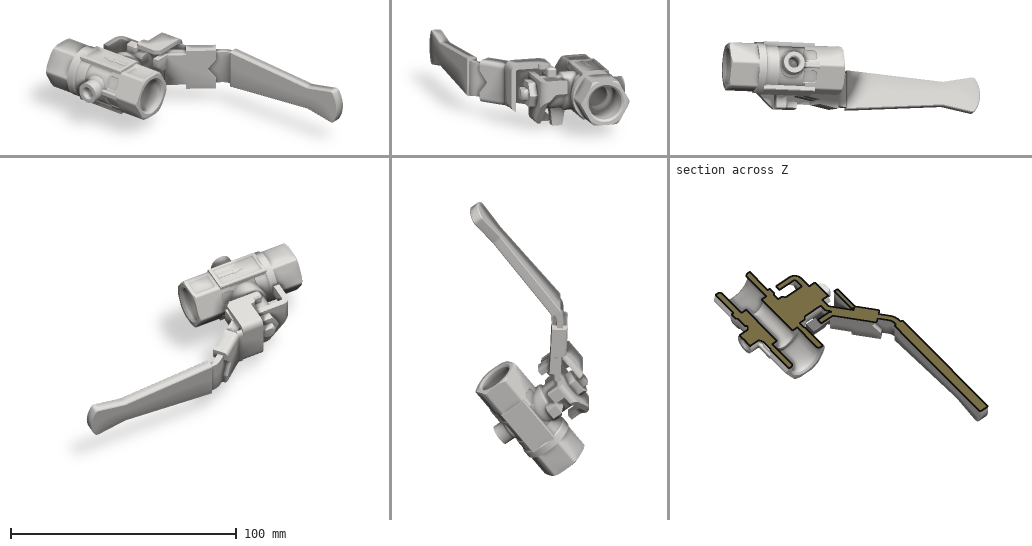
import cadquery as cq
import math


overlap = 1.2

inlet_x = -27.4
outlet_x = 24.1
hex_flats = 19.8
hex_edge_radius = 1.4
end_face_radius = 10.3
end_chamfer_length, end_chamfer_drop = 1.0, 1.6
collar_start, collar_end, collar_radius = -14.8, -11.0, 11.4
collar_chamfer = 0.5
shoulder_end, shoulder_radius = -5.7, 10.7
barrel_radius = 10.1
outlet_hex_start = 6.7
bore_radius = 5.1
thread_radius = 7.5
thread_depth = 14.8
thread_chamfer = 0.9

pad_start, pad_end, pad_half_width = -11.7, 11.2, 6.2
pad_height = 10.9
pad_edge_chamfer = 0.4
pad_frame = 1.5
pocket_depth = 0.4
pocket_slope = 0.6
arrow_tip, arrow_neck, arrow_tail = -2.8, 1.7, 9.1
arrow_height = 0.2
arrow_half_width, arrow_shaft_half_width = 1.4, 0.7
outlet_pocket_start, outlet_pocket_end, outlet_pocket_width = 12.4, 22.5, 7.9
outlet_pocket_radius = 1.0
scallop_end, scallop_width, scallop_corner_radius = 11.9, 6.2, 1.9

port_face_y = -15.5
port_radius = 4.7
port_root_radius, port_root_y = 5.8, -10.6
port_hole_radius, port_hole_depth, port_hole_chamfer = 2.5, 6.2, 0.5
rib_end_x, rib_width, rib_depth_y, rib_edge_radius = 12.4, 2.7, -11.5, 0.7

flange_radius, flange_top = 8.5, 12.6
neck_radius, neck_base, neck_top = 7.3, 13.5, 22.6
stem_radius, stem_top, stem_chamfer = 3.6, 31.6, 1.0
stem_flats = 4.7
nut_flats, nut_height = 10.9, 3.3
upper_lug_half_width, upper_lug_top = 2.8, 11.2
upper_lug_low_y, upper_lug_high_y = 15.3, 19.5
upper_lug_chamfer, upper_lug_radius = 0.7, 1.2
lug_web_x, lug_web_low_y, lug_web_top = 6.7, 14.7, 7.9
lower_lug_half_width, lower_lug_bottom, lower_lug_chamfer = 2.2, -15.1, 0.6
lower_lug_root_y = (11.4, 18.2)
lower_lug_tip_y = (12.7, 17.3)

plate = 2.7
lever_y = neck_top + plate / 2
lever_half_width = 7.7
lever_left_x = -14.1
lever_tab_y = 13.7
tab_bottom, tab_slant_low_y = 2.0, 18.9
right_flap_x, right_flap_low_y, right_flap_bottom = 14.3, 16.7, 1.0
lever_slope = 40.0
upper_bend_x = 32.7
grip_mid_y = 43.3
lower_bend_radius = 2.3
upper_bend_radius = 6.0
stop_left_x, stop_right_x = 2.7, 8.0
stop_bottom, stop_low_y = -14.0, 17.5
stop_bend_radius = 2.5
bevel_offset = -15.3

grip_start, grip_waist, grip_flare, grip_end = 35.6, 79.2, 93.2, 96.1
grip_thickness = 4.7
grip_start_half, grip_waist_half, grip_flare_half = 8.8, 5.3, 8.0
grip_waist_radius, grip_corner_radius = 3.7, 1.9
grip_edge_chamfer = 0.4

sleeve_gap = 2.2
sleeve_back = 2.1
sleeve_length, sleeve_half_width = 13.3, 9.5
sleeve_to_bend = 5.3
notch_depth, notch_half_width = 4.0, 5.0
tongue_length, tongue_half_width = 9.6, 7.4
clip_back_y, clip_thickness = 34.2, 2.1
clip_left_x, clip_right_x, clip_joint_x = 4.3, 14.3, 16.8
clip_top, clip_low_y = 12.0, 16.7
hook_left_x, hook_height, hook_radius = 1.7, 5.4, 1.6
clip_bend_radius, clip_corner_chamfer, clip_joint_radius = 3.0, 2.0, 2.0


def block(x, y, z):
    """Box given by its (low, high) limits on each axis."""
    size = (x[1] - x[0], y[1] - y[0], z[1] - z[0])
    return cq.Workplane("XY").box(*size, centered=False).translate((x[0], y[0], z[0]))


def x_cylinder(radius, start, end):
    return cq.Workplane("YZ").workplane(offset=start).circle(radius).extrude(end - start)


def y_cylinder(radius, start, end):
    """Cylinder on the stem axis; the XZ plane faces -Y."""
    return cq.Workplane("XZ").workplane(offset=-start).circle(radius).extrude(start - end)


def hex_end(start, end):
    """Hexagonal wrench section with flats on top and bottom."""
    across_corners = hex_flats / math.cos(math.pi / 6)
    prism = cq.Workplane("YZ").workplane(offset=start).polygon(6, across_corners).extrude(end - start)
    return prism.edges("|X").fillet(hex_edge_radius)


def body_outside():
    hexes = hex_end(inlet_x, collar_start).union(hex_end(outlet_hex_start, outlet_x))
    chamfered_bar = x_cylinder(end_face_radius + end_chamfer_drop, inlet_x, outlet_x)
    chamfered_bar = chamfered_bar.faces("<X or >X").chamfer(end_chamfer_length, end_chamfer_drop)
    ends = hexes.intersect(chamfered_bar)
    collar = x_cylinder(collar_radius, collar_start, collar_end)
    collar = collar.faces(">X").chamfer(collar_chamfer)
    shoulder = x_cylinder(shoulder_radius, collar_end, shoulder_end)
    barrel = x_cylinder(barrel_radius, shoulder_end, outlet_hex_start)
    return ends.union(collar).union(shoulder).union(barrel)


def sloped_flat_pockets():
    """Round-cornered pockets at the inner end of the four sloped outlet flats."""
    pockets = cq.Workplane("XY")
    half = scallop_width / 2
    for angle in (60, 120, 240, 300):
        pocket = block(
            (outlet_hex_start - overlap, scallop_end),
            (-half, half),
            (hex_flats / 2 - pocket_depth, hex_flats / 2 + overlap),
        )
        pocket = pocket.edges("|Z and >X").fillet(scallop_corner_radius)
        pocket = pocket.faces("<Z").chamfer(pocket_depth, pocket_slope)
        pockets = pockets.add(pocket.rotate((0, 0, 0), (1, 0, 0), angle))
    return pockets.combine()


def name_pad(side):
    """Flat pad on the top (side = 1) or bottom (side = -1) of the barrel."""
    pad = block(
        (pad_start, pad_end),
        (-pad_half_width, pad_half_width),
        (thread_radius + overlap, pad_height),
    )
    pad = pad.edges("|X and >Z").chamfer(pad_edge_chamfer)
    return pad if side > 0 else pad.mirror("XY")


def name_recess():
    """Shallow recess that leaves a frame around the top pad."""
    recess = block(
        (pad_start + pad_frame, pad_end - pad_frame),
        (pad_frame - pad_half_width, pad_half_width - pad_frame),
        (pad_height - pocket_depth, pad_height + overlap),
    )
    return recess.faces("<Z").chamfer(pocket_depth)


def flow_arrow():
    half_outline = [
        (arrow_tip, 0),
        (arrow_neck, arrow_half_width),
        (arrow_neck, arrow_shaft_half_width),
        (arrow_tail, arrow_shaft_half_width),
        (arrow_tail, 0),
    ]
    arrow = cq.Workplane("XY").workplane(offset=pad_height - 2 * pocket_depth)
    return arrow.polyline(half_outline).mirrorX().extrude(pocket_depth + arrow_height)


def outlet_pocket():
    """Shallow rectangular pocket in the top flat of the outlet hexagon."""
    half = outlet_pocket_width / 2
    pocket = block(
        (outlet_pocket_start, outlet_pocket_end),
        (-half, half),
        (hex_flats / 2 - pocket_depth, hex_flats / 2 + overlap),
    )
    pocket = pocket.edges("|Z").fillet(outlet_pocket_radius)
    return pocket.faces("<Z").chamfer(pocket_depth, pocket_slope)


def drain_port():
    port = y_cylinder(port_radius, port_face_y, -thread_radius - overlap)
    root = y_cylinder(port_root_radius, port_root_y, -thread_radius - overlap)
    root = root.faces("<Y").chamfer(port_root_radius - port_radius)
    rib = block((0, rib_end_x), (rib_depth_y, -thread_radius - overlap), (-rib_width / 2, rib_width / 2))
    rib = rib.edges("|X and <Y").fillet(rib_edge_radius)
    return port.union(root).union(rib)


def drain_hole():
    """Blind hole with a countersunk mouth, revolved about the port axis."""
    bottom_y = port_face_y + port_hole_depth
    half_profile = [
        (0, port_face_y),
        (port_hole_radius + port_hole_chamfer, port_face_y),
        (port_hole_radius, port_face_y + port_hole_chamfer),
        (port_hole_radius, bottom_y),
        (0, bottom_y),
    ]
    return cq.Workplane("XY").polyline(half_profile).close().revolve(360, (0, 0, 0), (0, 1, 0))


def bore():
    """Through bore with a threaded socket and a countersink at each end."""
    length = outlet_x - inlet_x
    mouth_radius = thread_radius + thread_chamfer
    half_profile = [
        (0, 0),
        (0, mouth_radius),
        (thread_chamfer, thread_radius),
        (thread_depth, thread_radius),
        (thread_depth, bore_radius),
        (length - thread_depth, bore_radius),
        (length - thread_depth, thread_radius),
        (length - thread_chamfer, thread_radius),
        (length, mouth_radius),
        (length, 0),
    ]
    profile = cq.Workplane("XY").polyline(half_profile).close()
    return profile.revolve(360, (0, 0, 0), (1, 0, 0)).translate((inlet_x, 0, 0))


def stem_boss():
    flange = y_cylinder(flange_radius, bore_radius + overlap, neck_base)
    flange = flange.faces(">Y").chamfer(neck_base - flange_top, flange_radius - neck_radius)
    neck = y_cylinder(neck_radius, neck_base, neck_top)
    stem = y_cylinder(stem_radius, neck_top, stem_top).faces(">Y").chamfer(stem_chamfer)
    flats = block(
        (-stem_radius, stem_radius),
        (neck_top, stem_top),
        (-stem_flats / 2, stem_flats / 2),
    )
    nut_bottom = lever_y + plate / 2
    nut = (
        cq.Workplane("XZ").workplane(offset=-nut_bottom)
        .polygon(6, nut_flats / math.cos(math.pi / 6)).extrude(-nut_height)
    )
    return flange.union(neck).union(stem.intersect(flats)).union(nut)


def stop_lugs():
    upper = block(
        (-upper_lug_half_width, upper_lug_half_width),
        (upper_lug_low_y, upper_lug_high_y),
        (0, upper_lug_top),
    )
    upper = upper.edges("|Z").fillet(upper_lug_radius).faces(">Z").chamfer(upper_lug_chamfer)
    web = block((0, lug_web_x), (lug_web_low_y, upper_lug_high_y), (0, lug_web_top))
    web = web.edges("|X and <Y and >Z").chamfer(upper_lug_low_y - lug_web_low_y + upper_lug_chamfer)
    side_outline = [
        (lower_lug_root_y[0], -neck_radius / 2),
        (lower_lug_root_y[0], -neck_radius),
        (lower_lug_tip_y[0], lower_lug_bottom),
        (lower_lug_tip_y[1], lower_lug_bottom),
        (lower_lug_root_y[1], -neck_radius),
        (lower_lug_root_y[1], -neck_radius / 2),
    ]
    lower = cq.Workplane("YZ").polyline(side_outline).close().extrude(lower_lug_half_width, both=True)
    lower = lower.faces("<Y[1]").edges("not |X").chamfer(lower_lug_chamfer)
    return upper.union(web).union(lower)


def lever():
    run = (grip_mid_y - lever_y) / math.tan(math.radians(lever_slope))
    left_mid_x = lever_left_x + plate / 2
    path = (
        cq.Workplane("XY").moveTo(left_mid_x, lever_tab_y)
        .lineTo(left_mid_x, lever_y - lower_bend_radius)
        .tangentArcPoint((lower_bend_radius, lower_bend_radius))
        .lineTo(upper_bend_x - run, lever_y)
    )
    reach = upper_bend_radius * math.tan(math.radians(lever_slope / 2))
    path = (
        path.polarLine(math.hypot(run, grip_mid_y - lever_y) - reach, lever_slope)
        .tangentArcPoint((upper_bend_x + reach, grip_mid_y), relative=False)
        .lineTo(grip_start + overlap, grip_mid_y)
    )
    section = cq.Workplane("XZ", origin=(left_mid_x, lever_tab_y, 0)).rect(plate, 2 * lever_half_width)
    strip = section.sweep(path, transition="right")
    strip = strip.union(stop_plate()).cut(plate_bevel()).cut(left_tab_trim())
    flap = block(
        (right_flap_x - plate, right_flap_x),
        (right_flap_low_y, lever_y),
        (right_flap_bottom, lever_half_width),
    )
    return strip.union(flap)


def stop_plate():
    """Part of the lever that widens downwards and folds into the stop tab."""
    low_y, high_y = lever_y - plate / 2, lever_y + plate / 2
    widened = block((lever_left_x + plate, stop_right_x), (low_y, high_y), (stop_bottom, 0))
    tab = block((stop_left_x, stop_right_x), (stop_low_y, low_y), (stop_bottom, stop_bottom + plate))
    return widened.union(tab).edges("|X and >Y and <Z").fillet(stop_bend_radius)


def plate_bevel():
    """Oblique corner removed from the lever where x + z is less than the bevel offset."""
    span = 2 * lever_half_width
    corner = [
        (bevel_offset + span, -span),
        (bevel_offset - span, span),
        (bevel_offset - span, -span),
    ]
    return cq.Workplane("XZ").polyline(corner).close().extrude(-lever_y - plate)


def left_tab_trim():
    """Lower part removed from the folded left tab, with a slanted run-out at the bend."""
    low_y, high_y = lever_tab_y - plate, lever_y - plate / 2
    outline = [
        (low_y, tab_bottom),
        (tab_slant_low_y, tab_bottom),
        (high_y, tab_bottom - (high_y - tab_slant_low_y)),
        (high_y, -lever_half_width),
        (low_y, -lever_half_width),
    ]
    trim = cq.Workplane("YZ").workplane(offset=lever_left_x).polyline(outline).close()
    return trim.extrude(2 * plate)


def grip():
    """Tapered grip with a waist, a flared end and an arched tip."""
    top_y = grip_mid_y + grip_thickness / 2
    upper_side = [
        (grip_start, grip_start_half),
        (grip_waist, grip_waist_half),
        (grip_flare, grip_flare_half),
    ]
    lower_side = [(x, -z) for x, z in reversed(upper_side)]
    handle = (
        cq.Workplane("XZ").workplane(offset=-top_y)
        .polyline(upper_side)
        .threePointArc((grip_end, 0), lower_side[0])
        .polyline(lower_side).close()
        .extrude(grip_thickness)
    )
    for x, radius in ((grip_waist, grip_waist_radius), (grip_flare, grip_corner_radius)):
        across = cq.selectors.BoxSelector(
            (x - overlap, 0, -grip_start_half), (x + overlap, top_y, grip_start_half)
        )
        handle = handle.edges("|Y").edges(across).fillet(radius)
    return handle.faces("<Y or >Y").edges().chamfer(grip_edge_chamfer)


def sleeve():
    """Sleeve around the sloped lever, in a frame lying along that slope."""
    angle = math.radians(lever_slope)
    slope = cq.Plane(
        origin=(upper_bend_x, grip_mid_y, 0),
        xDir=(math.cos(angle), math.sin(angle), 0),
        normal=(0, 0, 1),
    )
    low = -plate / 2 - sleeve_gap
    high = plate / 2 + sleeve_back
    end = -sleeve_to_bend
    start = end - sleeve_length
    wrap = block((start, end), (low, high), (-sleeve_half_width, sleeve_half_width))
    wrap = wrap.edges("|X and >Y").fillet(sleeve_back)
    notch = (
        cq.Workplane("XZ").workplane(offset=-high)
        .polyline([(end, notch_half_width), (end - notch_depth, 0), (end, -notch_half_width)])
        .close().extrude(high - low)
    )
    tongue = block((start - tongue_length, start), (low, 0), (-tongue_half_width, tongue_half_width))
    placed = wrap.cut(notch).union(tongue)
    return cq.Workplane("XY").newObject([placed.val().moved(slope.location)])


def locking_clip():
    low_back = clip_back_y - clip_thickness
    low_top = clip_top - clip_thickness
    angle = block((clip_left_x, clip_right_x), (clip_low_y, clip_back_y), (-sleeve_half_width, clip_top))
    inside = block((clip_left_x, clip_right_x), (clip_low_y, low_back), (-sleeve_half_width, low_top))
    angle = angle.edges("|X and >Y").fillet(clip_bend_radius)
    angle = angle.cut(inside.edges("|X and >Y and >Z").fillet(clip_bend_radius - clip_thickness))
    angle = angle.edges("|Z and >X and <Y").chamfer(clip_corner_chamfer)
    joint = block(
        (clip_right_x, clip_joint_x), (low_back, clip_back_y), (-sleeve_half_width, sleeve_half_width)
    ).edges("|X and >Y").fillet(clip_joint_radius)
    hook = block(
        (hook_left_x, clip_left_x + overlap), (clip_low_y, clip_low_y + hook_height), (low_top, clip_top)
    ).edges("|Z and <X").fillet(hook_radius)
    return angle.union(joint).union(hook)


outside = (
    body_outside().cut(sloped_flat_pockets()).cut(outlet_pocket())
    .union(name_pad(1)).union(name_pad(-1)).cut(name_recess()).union(flow_arrow())
    .union(drain_port()).union(stem_boss()).union(stop_lugs())
)
body = outside.cut(bore()).cut(drain_hole())
result = body.union(lever()).union(grip()).union(sleeve()).union(locking_clip())